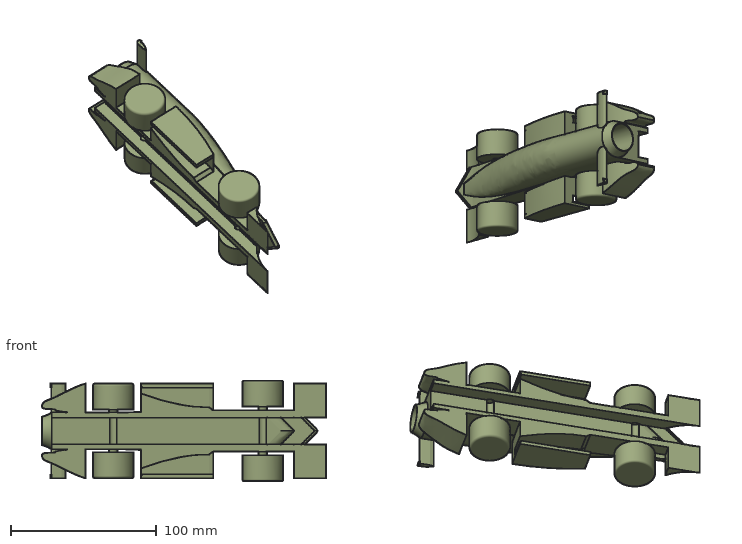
import cadquery as cq
import math


car_length = 195
side_z = 32.5
rear_half_width = 12.7
front_half_width = 14.2

tail_start = 6.8
tail_end = 56.0
tail_radius = rear_half_width
tail_axis_y = 29.2
collar_end_radius = 9.8
collar_waist = 11.0
chamber_diameter = 19.0

channel_half_width = 9.2
channel_height = 8.4

pod_start = 67.9
pod_end = 117.5
pod_top = 22.2
pod_front_top = 15.2
pod_roof_underside = 14.6
pod_plate_thickness = 3.0
pod_lip_length = 3.0
pod_lip_rise = 0.4
pod_edge_radius = 1.0

plate_top = 15.2
plate_bottom = 13.0
plate_middle = (plate_top + plate_bottom) / 2
plate_tip = 189.7
plate_blunt_end = 188.5
plate_edge_depth = 2.5
keel_tip = 173.2
keel_length = 9.0
nose_root = 148.2

deck_end = 171.6
ledge_height = plate_top

fin_end = 30.0
fin_top = 21.0
fin_tail_height = 15.0
fin_flat_start = 23.4
fin_root_x = 17.5

wing_start = 172.8

blade_bottom = 37
blade_top = 40.0
blade_front_edge = 7.6
hook_width = 2.5
hook_top = 42.1
hook_start = 5.8
spoiler_root = 5.8

wheel_diameter = 28.0
wheel_width = 18.0
wheel_axis_y = 10.1
stub_diameter = 6.0
stub_insertion = 2
rear_wheel_x = 49.0
front_wheel_x = 151.5
rear_wheel_outer = 32.5
front_wheel_outer = 34.5
rear_wheel_round = 1.8
front_wheel_round = 1.4


def block(x0, x1, y0, y1, z0, z1):
    return cq.Workplane("XY").box(x1 - x0, y1 - y0, z1 - z0, centered=False).translate((x0, y0, z0))


def plan():
    """Workplane whose local (x, y) are the car's X and Z; a negative extrusion goes up along +Y."""
    return cq.Workplane(cq.Plane(origin=(0, 0, 0), xDir=(1, 0, 0), normal=(0, -1, 0)))


def both_sides(half):
    return half.union(half.mirror("XY"))


def arc_middle_drop(length, drop):
    """Drop at half length of an arc that starts level and falls by drop over length."""
    radius = (length**2 + drop**2) / (2 * drop)
    return radius - math.sqrt(radius**2 - (length / 2) ** 2)


def make_tail():
    straight = block(tail_start, pod_start, 0, ledge_height, -rear_half_width, rear_half_width)
    upper = block(tail_start, tail_end, 0, tail_axis_y, -rear_half_width, rear_half_width)
    barrel = (
        cq.Workplane("YZ", origin=(tail_start, tail_axis_y, 0))
        .circle(tail_radius)
        .extrude(tail_end - tail_start)
    )
    collar = (
        cq.Workplane("XY")
        .moveTo(0, tail_axis_y)
        .lineTo(0, tail_axis_y + collar_end_radius)
        .threePointArc(
            (tail_start / 2, tail_axis_y + collar_waist), (tail_start, tail_axis_y + tail_radius)
        )
        .lineTo(tail_start, tail_axis_y)
        .close()
        .revolve(360, (0, tail_axis_y, 0), (1, tail_axis_y, 0))
    )
    return straight.union(upper).union(barrel).union(collar)


def fuselage_section(x, crest, shoulder, half_width):
    """Closed arch across the car: flat base, upright sides and a half-elliptical top."""
    return (
        cq.Workplane("YZ", origin=(x, 0, 0))
        .moveTo(ledge_height, -half_width)
        .lineTo(shoulder, -half_width)
        .ellipseArc(crest - shoulder, half_width, -90, 90, sense=1, startAtCurrent=True)
        .lineTo(ledge_height, half_width)
        .close()
        .wire()
        .val()
    )


def make_fuselage():
    sections = [
        fuselage_section(tail_end, tail_axis_y + tail_radius, tail_axis_y, tail_radius),
        fuselage_section(76, 41, 27.7, 13.5),
        fuselage_section(100.8, 36.9, 24.5, 13.8),
        fuselage_section(124.2, 31.2, 21.5, 13.5),
        fuselage_section(147.6, 24.5, 18.3, 11.7),
        fuselage_section(164.0, 20.0, 16.4, 8.8),
        fuselage_section(180.4, 15.6, 15.5, 3.9),
    ]
    return cq.Workplane(cq.Solid.makeLoft(sections))


def make_deck():
    return (
        cq.Workplane("XY", origin=(0, 0, -front_half_width))
        .moveTo(pod_start, 0)
        .lineTo(pod_start, pod_top)
        .spline([(101.4, 20.0), (142.4, 17.5), (deck_end, plate_top)], includeCurrent=True)
        .lineTo(deck_end, plate_middle)
        .lineTo(nose_root, plate_middle)
        .lineTo(nose_root, 0)
        .close()
        .extrude(2 * front_half_width)
    )


def make_nose_half():
    """One leg of the V: the centre profile swept backwards and outwards at 45 degrees."""
    profile = (
        cq.Workplane("XY")
        .moveTo(nose_root, channel_height)
        .lineTo(keel_tip - keel_length, channel_height)
        .ellipseArc(
            keel_length, plate_bottom - channel_height, 270, 360, sense=1, startAtCurrent=True
        )
        .lineTo(plate_tip - plate_edge_depth, plate_bottom)
        .threePointArc((plate_tip, plate_middle), (plate_tip - plate_edge_depth, plate_top))
        .lineTo(nose_root, plate_top)
        .close()
        .wire()
        .val()
    )
    sweep = cq.Vector(-front_half_width, 0, front_half_width)
    return cq.Workplane(cq.Solid.extrudeLinear(profile, [], sweep))


def make_side_pod():
    """Outer plate, roof and curved inner wall around a tunnel that is open below and at both ends."""
    length = pod_end - pod_start
    middle_top = pod_top - arc_middle_drop(length, pod_top - pod_front_top)
    shell = (
        cq.Workplane("XY")
        .moveTo(pod_start, 0)
        .lineTo(pod_start, pod_top)
        .threePointArc((pod_start + length / 2, middle_top), (pod_end, pod_front_top))
        .lineTo(pod_end, 0)
        .close()
        .extrude(side_z)
    )
    lip_start = pod_end - pod_lip_length
    tunnel_outer = side_z - pod_plate_thickness
    tunnel_plan = (
        plan()
        .moveTo(pod_start, 25.7)
        .spline([(82.7, 20.9), (98.5, 17.4), (lip_start, 16.2)], includeCurrent=True)
        .lineTo(pod_end, front_half_width)
        .lineTo(pod_end, tunnel_outer)
        .lineTo(pod_start + pod_edge_radius, tunnel_outer)
        .radiusArc((pod_start, tunnel_outer + pod_edge_radius), -pod_edge_radius)
        .close()
        .extrude(-pod_top)
    )
    tunnel_height = (
        cq.Workplane("XY")
        .moveTo(pod_start, 0)
        .lineTo(pod_start, pod_roof_underside)
        .lineTo(lip_start, pod_roof_underside)
        .lineTo(pod_end, pod_roof_underside + pod_lip_rise)
        .lineTo(pod_end, 0)
        .close()
        .extrude(side_z)
    )
    return shell.cut(tunnel_plan.intersect(tunnel_height))


def make_rear_fin():
    """Fin with a curved, pointed outline from above and an arched top edge."""
    outline = (
        plan()
        .moveTo(fin_end, channel_half_width)
        .lineTo(fin_end, side_z)
        .spline([(26.5, 31.4), (16.5, 27.0), (7.5, 22.5), (0.4, 18.3), (0, 16.8)], includeCurrent=True)
        .spline([(0.4, 16.0), (2.5, 15.0), (9.5, 14.0)], includeCurrent=True)
        .lineTo(fin_root_x, rear_half_width)
        .lineTo(fin_root_x, channel_half_width)
        .close()
        .extrude(-fin_top)
    )
    middle_top = fin_top - arc_middle_drop(fin_flat_start, fin_top - fin_tail_height)
    side = (
        cq.Workplane("XY")
        .lineTo(0, fin_tail_height)
        .threePointArc((fin_flat_start / 2, middle_top), (fin_flat_start, fin_top))
        .lineTo(fin_end, fin_top)
        .lineTo(fin_end, 0)
        .close()
        .extrude(side_z)
    )
    return outline.intersect(side)


def make_front_wing():
    """Front end of one rail, widening into a wing with a hollow-curved top."""
    rail_start = nose_root - front_half_width
    rail = block(rail_start, wing_start, 0, channel_height, channel_half_width, front_half_width)
    wing = (
        cq.Workplane("XY", origin=(0, 0, channel_half_width))
        .moveTo(wing_start, 0)
        .lineTo(wing_start, channel_height)
        .threePointArc((181.5, 3.0), (car_length, 0))
        .close()
        .extrude(side_z - channel_half_width)
    )
    return rail.union(wing)


def make_body():
    body = make_tail().union(make_deck()).union(make_fuselage())
    for half in (make_nose_half(), make_side_pod(), make_rear_fin(), make_front_wing()):
        body = body.union(both_sides(half))
    blunted_tip = block(
        plate_blunt_end, car_length, plate_bottom, plate_top, -front_half_width, front_half_width
    )
    channel = block(0, car_length, 0, channel_height, -channel_half_width, channel_half_width)
    chamber = (
        cq.Workplane("YZ", origin=(0, tail_axis_y, 0)).circle(chamber_diameter / 2).extrude(tail_end)
    )
    body = body.cut(blunted_tip).cut(channel).cut(chamber)
    for x in (rear_wheel_x, front_wheel_x):
        axle_hole = (
            cq.Workplane("XY", origin=(x, wheel_axis_y, -front_half_width))
            .circle(stub_diameter / 2)
            .extrude(2 * front_half_width)
        )
        body = body.cut(axle_hole)
    return body.solids()


def make_spoiler_half(body):
    """Half spoiler on the +Z side: a blade with a hooked tip, fitted to the side of the tail."""
    blade = (
        cq.Workplane("XY", origin=(0, 0, spoiler_root))
        .moveTo(blade_front_edge, blade_bottom)
        .lineTo(13.5, blade_bottom)
        .lineTo(16.4, 37.8)
        .threePointArc((12.9, 39.4), (8.8, blade_top))
        .lineTo(blade_front_edge, blade_top)
        .threePointArc((6.5, 38.5), (blade_front_edge, blade_bottom))
        .close()
        .extrude(side_z - spoiler_root)
    )
    hook = (
        cq.Workplane("XY", origin=(0, 0, side_z - hook_width))
        .moveTo(blade_front_edge, blade_bottom)
        .lineTo(hook_start, 38.2)
        .lineTo(hook_start, hook_top)
        .lineTo(blade_front_edge, blade_top)
        .close()
        .extrude(hook_width)
    )
    hook_slope = (
        cq.Workplane("YZ")
        .moveTo(40.2, side_z)
        .lineTo(hook_top, side_z - hook_width)
        .lineTo(hook_top, side_z)
        .close()
        .extrude(tail_end)
    )
    return blade.union(hook.cut(hook_slope)).cut(body)


def make_wheel(x, outer_z, edge_round, body_side):
    """Wheel on the +Z side with a stub axle that enters the hole in the side of the body."""
    inner_z = outer_z - wheel_width
    stub_end = body_side - stub_insertion
    disc = (
        cq.Workplane("XY", origin=(x, wheel_axis_y, inner_z))
        .circle(wheel_diameter / 2)
        .extrude(wheel_width)
        .faces(">Z")
        .edges()
        .fillet(edge_round)
    )
    stub = (
        cq.Workplane("XY", origin=(x, wheel_axis_y, stub_end))
        .circle(stub_diameter / 2)
        .extrude(inner_z - stub_end)
    )
    return disc.union(stub)


body = make_body()
side_parts = [
    make_spoiler_half(body),
    make_wheel(rear_wheel_x, rear_wheel_outer, rear_wheel_round, rear_half_width),
    make_wheel(front_wheel_x, front_wheel_outer, front_wheel_round, front_half_width),
]
solids = [body.val()]
for part in side_parts:
    solids += [part.val(), part.mirror("XY").val()]

result = cq.Compound.makeCompound(solids)